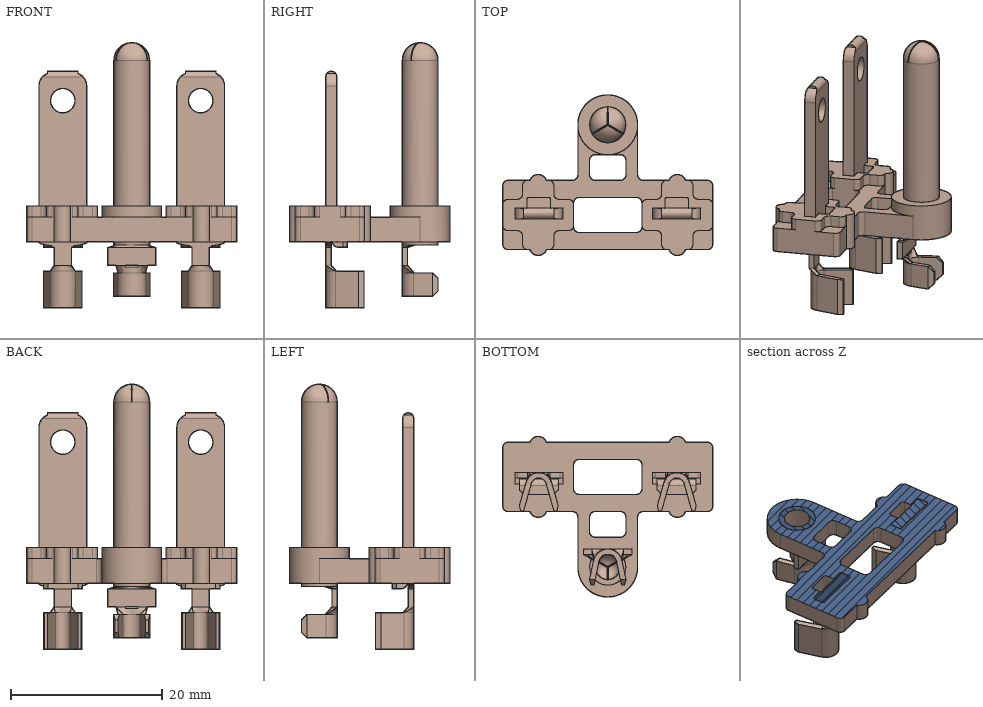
import cadquery as cq
import math

sheet = 0.75

base_length = 27.8
base_depth = 9.2
frame_height = 3.25
boss_height = 4.75
corner_radius = 0.7
window_length = 9.02
window_depth = 4.6

pin_y = 11.95
pin_radius = 2.4
pin_top = 26.37
pin_collar_radius = 3.95
slit_width = 0.1

boss_bar_width = 4.15
bump_radius = 1.15
bump_reach = 5.37

blade_x = 9.13
blade_y = 0.18
blade_width = 6.35
blade_thickness = 2 * sheet
blade_top = 22.58
blade_corner_radius = 1.75
blade_corner_sweep = 70
blade_notch_depth = 0.3
blade_hole_diameter = 3.2
blade_hole_z = 18.68
shoulder_top_z = -0.15
shoulder_outer_x = 2.8
shoulder_outer_z = -0.3
shoulder_inner_x = 1.5
shoulder_inner_z = -0.53
tab_width = 5.15
tab_end_y = 2.3
tab_corner_cut = 0.6
tab_bend_start = 0.1
tab_bend_length = 0.85
slot_pocket_width = 3.12
slot_pocket_radius = 0.3

neck_width = 2.3
neck_top = -0.77
neck_bottom = -3.12
blade_barrel_top = -3.9
blade_barrel_bottom = -8.75
blade_barrel_radius = 1.75
blade_barrel_depth = 5.1
blade_barrel_splay = 16
pin_bottom = -0.45
pin_plate_width = 6.4
pin_plate_blend_angle = 65
pin_barrel_top = -4.1
pin_barrel_bottom = -7.25
pin_barrel_radius = 1.93
pin_barrel_depth = 2 * pin_radius
pin_barrel_splay = 12
pin_throat_width = 4.2
pin_throat_angle = 74
throat_gap_width = 1.6
throat_gap_height = 0.2

blade_front_y = blade_y - sheet
pin_front_y = pin_y - pin_radius
boss_x = (base_length + window_length) / 4
boss_length = (base_length - window_length) / 2


def box(x_size, y_size, z_low, z_high, x=0, y=0):
    """Upright block centred on (x, y) between two heights."""
    return (
        cq.Workplane("XY", origin=(x, y, z_low))
        .rect(x_size, y_size)
        .extrude(z_high - z_low)
    )


def cylinder(radius, z_low, z_high, x=0, y=0):
    """Upright cylinder centred on (x, y) between two heights."""
    return cq.Workplane("XY", origin=(x, y, z_low)).circle(radius).extrude(z_high - z_low)



def make_frame():
    """Windowed plate with an arm reaching back to the ground pin."""
    arm_width = 2 * pin_collar_radius
    plate = box(base_length, base_depth, 0, frame_height)
    arm = box(arm_width, pin_y, 0, frame_height, y=pin_y / 2)
    frame = plate.union(arm).edges("|Z").edges("<Y or <X or >X").fillet(corner_radius)
    inside_corners = cq.selectors.BoxSelector(
        (-arm_width, base_depth / 2 - corner_radius, 0),
        (arm_width, base_depth / 2 + corner_radius, frame_height),
    )
    frame = frame.edges("|Z").edges(inside_corners).fillet(corner_radius)
    frame = frame.union(cylinder(pin_collar_radius, 0, boss_height, y=pin_y))

    arm_window_start = base_depth / 2
    arm_window_end = pin_y - pin_collar_radius
    windows = [
        box(window_length, window_depth, 0, frame_height),
        box(
            2 * pin_radius,
            arm_window_end - arm_window_start,
            0,
            frame_height,
            y=(arm_window_start + arm_window_end) / 2,
        ),
    ]
    for window in windows:
        frame = frame.cut(window.edges("|Z").fillet(corner_radius))
    return frame


def make_boss():
    """Cross-shaped boss whose front and back bumps stand out from the frame."""
    cross = (
        box(boss_length, boss_bar_width, 0, boss_height)
        .union(box(boss_bar_width, base_depth, 0, boss_height))
        .edges("|Z")
        .fillet(corner_radius)
    )
    bump_y = bump_reach - bump_radius
    for side in (-1, 1):
        cross = cross.union(cylinder(bump_radius, 0, boss_height, y=side * bump_y))
    return cross


def make_blade_opening():
    """Slot for the blade with a narrower pocket behind it, above the bent tab."""
    slot = box(blade_width, blade_thickness, 0, boss_height, y=blade_y)
    pocket = (
        box(slot_pocket_width, tab_end_y - blade_y, 0, boss_height, y=(tab_end_y + blade_y) / 2)
        .edges("|Z and >Y")
        .fillet(slot_pocket_radius)
    )
    return slot.union(pocket)


def make_base():
    """Frame with two blade bosses, opened for the blades and the pin."""
    base = make_frame()
    boss = make_boss()
    opening = make_blade_opening()
    for side in (-1, 1):
        base = base.union(boss.translate((side * boss_x, 0, 0)))
    for side in (-1, 1):
        base = base.cut(opening.translate((side * blade_x, 0, 0)))
    return base.cut(cylinder(pin_radius, 0, boss_height, y=pin_y))



def arc_strip(plane, radius, half_angle):
    """Sheet section bowed around +Y, with its outermost point on the plane's origin."""
    sine = math.sin(math.radians(half_angle))
    cosine = math.cos(math.radians(half_angle))
    inner = radius - sheet
    return (
        plane.moveTo(-radius * sine, radius - radius * cosine)
        .threePointArc((0, 0), (radius * sine, radius - radius * cosine))
        .lineTo(inner * sine, radius - inner * cosine)
        .threePointArc((0, sheet), (-inner * sine, radius - inner * cosine))
        .close()
    )


def strip_transition(front_y, arc_z, radius, half_angle, flat_z, flat_width):
    """Sheet that changes from a bowed section to a flat one between two heights."""
    bowed = arc_strip(cq.Workplane("XY", origin=(0, front_y, arc_z)), radius, half_angle)
    return (
        bowed.workplane(offset=flat_z - arc_z)
        .moveTo(-flat_width / 2, 0)
        .lineTo(flat_width / 2, 0)
        .lineTo(flat_width / 2, sheet)
        .lineTo(-flat_width / 2, sheet)
        .close()
        .loft(ruled=True, combine=True)
    )


def crimp_barrel(front_y, z_low, z_high, radius, depth, splay):
    """Open U of sheet: a round front and two splayed arms with bevelled tips."""
    sine = math.sin(math.radians(splay))
    cosine = math.cos(math.radians(splay))
    inner = radius - sheet
    slope = sine / cosine
    bevel_y = depth - sheet

    def arm_x(arc_radius, y):
        return arc_radius * cosine + (y - radius + arc_radius * sine) * slope

    outer_x = arm_x(radius, bevel_y)
    inner_x = arm_x(inner, depth)
    tip_x = arm_x(radius - sheet / 2, depth)
    return (
        cq.Workplane("XY", origin=(0, front_y, z_low))
        .moveTo(-tip_x, depth)
        .lineTo(-outer_x, bevel_y)
        .lineTo(-radius * cosine, radius - radius * sine)
        .threePointArc((0, 0), (radius * cosine, radius - radius * sine))
        .lineTo(outer_x, bevel_y)
        .lineTo(tip_x, depth)
        .lineTo(inner_x, depth)
        .lineTo(inner * cosine, radius - inner * sine)
        .threePointArc((0, sheet), (-inner * cosine, radius - inner * sine))
        .lineTo(-inner_x, depth)
        .close()
        .extrude(z_high - z_low)
    )



def make_blade_tongue():
    """Folded double sheet with a rounded top edge, notched round corners and a hole."""
    half = blade_width / 2
    sweep = math.radians(blade_corner_sweep)
    arc_end_z = blade_top - blade_notch_depth
    arc_start_z = arc_end_z - blade_corner_radius * math.sin(sweep)
    arc_end_x = half - blade_corner_radius * (1 - math.cos(sweep))
    arc_mid_z = arc_start_z + blade_corner_radius * math.sin(sweep / 2)
    arc_mid_x = half - blade_corner_radius * (1 - math.cos(sweep / 2))
    outline = (
        cq.Workplane("XZ", origin=(0, blade_y + sheet, 0))
        .moveTo(-half, 0)
        .lineTo(half, 0)
        .lineTo(half, arc_start_z)
        .threePointArc((arc_mid_x, arc_mid_z), (arc_end_x, arc_end_z))
        .lineTo(arc_end_x, blade_top)
        .lineTo(-arc_end_x, blade_top)
        .lineTo(-arc_end_x, arc_end_z)
        .threePointArc((-arc_mid_x, arc_mid_z), (-half, arc_start_z))
        .close()
        .extrude(blade_thickness)
    )
    fold = (
        cq.Workplane("YZ", origin=(-half, blade_y, 0))
        .moveTo(-sheet, 0)
        .lineTo(sheet, 0)
        .lineTo(sheet, blade_top - sheet)
        .threePointArc((0, blade_top), (-sheet, blade_top - sheet))
        .close()
        .extrude(blade_width)
    )
    hole = (
        cq.Workplane("XZ", origin=(0, blade_y + sheet, blade_hole_z))
        .circle(blade_hole_diameter / 2)
        .extrude(blade_thickness)
    )
    return outline.intersect(fold).cut(hole)


def make_blade_neck():
    """Front sheet below the base, narrowing in sloping shoulders from the blade to the neck."""
    right_edge = [
        (blade_width / 2, 0),
        (blade_width / 2, shoulder_top_z),
        (shoulder_outer_x, shoulder_outer_z),
        (shoulder_inner_x, shoulder_inner_z),
        (neck_width / 2, neck_top),
        (neck_width / 2, neck_bottom),
    ]
    left_edge = [(-x, z) for x, z in reversed(right_edge)]
    return (
        cq.Workplane("XZ", origin=(0, blade_y, 0))
        .polyline(right_edge + left_edge)
        .close()
        .extrude(sheet)
    )


def make_blade_tab():
    """Back sheet bent rearward under the base."""
    bend_start_y = blade_y + tab_bend_start
    bend_radius = (tab_bend_length**2 + sheet**2) / (2 * sheet)
    return (
        cq.Workplane("YZ", origin=(-tab_width / 2, 0, 0))
        .moveTo(bend_start_y, 0)
        .radiusArc((bend_start_y + tab_bend_length, -sheet), -bend_radius)
        .lineTo(tab_end_y, -sheet)
        .lineTo(tab_end_y, 0)
        .close()
        .extrude(tab_width)
        .edges("|Z and >Y")
        .chamfer(tab_corner_cut)
    )


def make_blade():
    """One blade, centred on X = 0, from its folded tip down to its crimp barrel."""
    blade = make_blade_tongue().union(make_blade_neck()).union(make_blade_tab())
    transition = strip_transition(
        blade_front_y,
        blade_barrel_top,
        blade_barrel_radius,
        90 - blade_barrel_splay,
        neck_bottom,
        neck_width,
    )
    barrel = crimp_barrel(
        blade_front_y,
        blade_barrel_bottom,
        blade_barrel_top,
        blade_barrel_radius,
        blade_barrel_depth,
        blade_barrel_splay,
    )
    return blade.union(transition).union(barrel)



def round_ended_rod(radius):
    """Upright rod on the pin axis with a half-round top."""
    dome_z = pin_top - pin_radius
    ball = cq.Workplane("XY", origin=(0, pin_y, dome_z)).sphere(radius)
    return cylinder(radius, pin_bottom, dome_z, y=pin_y).union(ball)


def make_pin_tube():
    """Hollow pin whose dome is closed by three petals with slits between them."""
    tube = round_ended_rod(pin_radius).cut(round_ended_rod(pin_radius - sheet))
    slit = box(pin_radius, slit_width, pin_top - pin_radius, pin_top, x=pin_radius / 2)
    for angle in (90, 210, 330):
        placed = slit.rotate((0, 0, 0), (0, 0, 1), angle).translate((0, pin_y, 0))
        tube = tube.cut(placed)
    return tube


def make_pin_barrel():
    """Crimp barrel whose arm tips are also bevelled above and below."""
    barrel = crimp_barrel(
        pin_front_y,
        pin_barrel_bottom,
        pin_barrel_top,
        pin_barrel_radius,
        pin_barrel_depth,
        pin_barrel_splay,
    )
    back_y = pin_front_y + pin_barrel_depth
    envelope = (
        cq.Workplane("YZ", origin=(-pin_collar_radius, 0, 0))
        .moveTo(pin_front_y, pin_barrel_bottom)
        .lineTo(back_y - sheet, pin_barrel_bottom)
        .lineTo(back_y, pin_barrel_bottom + sheet)
        .lineTo(back_y, pin_barrel_top - sheet)
        .lineTo(back_y - sheet, pin_barrel_top)
        .lineTo(pin_front_y, pin_barrel_top)
        .close()
        .extrude(2 * pin_collar_radius)
    )
    return barrel.intersect(envelope)


def make_ground_pin():
    """Pin tube, flat plate below it and crimp barrel, joined by formed transitions."""
    plate = box(pin_plate_width, sheet, neck_bottom, neck_top, y=pin_front_y + sheet / 2)
    upper_transition = strip_transition(
        pin_front_y, pin_bottom, pin_radius, pin_plate_blend_angle, neck_top, pin_plate_width
    )
    lower_transition = strip_transition(
        pin_front_y,
        pin_barrel_top,
        pin_barrel_radius,
        pin_throat_angle,
        neck_bottom,
        pin_throat_width,
    )
    throat_gap = box(
        throat_gap_width, 2 * pin_radius, neck_bottom - throat_gap_height, neck_bottom, y=pin_front_y
    )
    return (
        make_pin_tube()
        .union(upper_transition)
        .union(plate)
        .union(lower_transition.cut(throat_gap))
        .union(make_pin_barrel())
    )


base = make_base()
ground_pin = make_ground_pin()
blade = make_blade()
blades = [blade.translate((side * blade_x, 0, 0)) for side in (-1, 1)]

result = cq.Compound.makeCompound([base.val(), ground_pin.val(), *[body.val() for body in blades]])